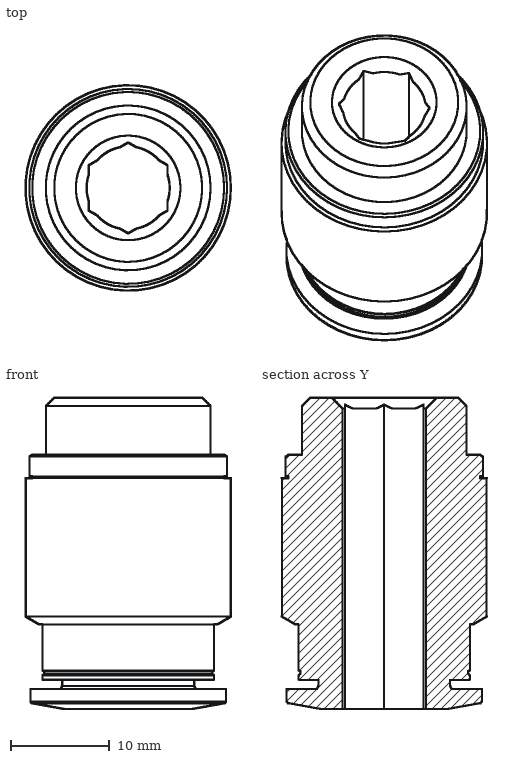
import cadquery as cq
import math

total_height = 31.5

flange_diameter = 19.8
flange_bottom_diameter = 12.85
flange_top = 2.05
rim_height = 0.75
rim_chamfer = 0.15

neck_diameter = 13.4
neck_foot_diameter = 13.67
neck_foot_top = 2.35

sleeve_diameter = 17.4
collar_bottom = 2.93
collar_top = 3.4
groove_diameter = 17.0
sleeve_bottom = 3.85
edge_chamfer = 0.1
collar_taper = (sleeve_diameter - groove_diameter) / 2

body_diameter = 20.8
body_bottom = 8.57
body_top = 23.37
body_chamfer_height = 0.8
body_chamfer_angle = 30.0

ring_diameter = 20.0
ring_edge_diameter = 19.4
ring_bottom = 23.53
ring_top = 25.75
ring_chamfer_height = 0.2

spigot_diameter = 16.65
spigot_chamfer = 0.85

hex_across_flats = 7.95
bore_diameter = 8.38
countersink_diameter = 10.58
countersink_angle = 45.0


def make_outer_body():
    """Revolve the stepped half section about Z."""
    flange_radius = flange_diameter / 2
    neck_radius = neck_diameter / 2
    sleeve_radius = sleeve_diameter / 2
    groove_radius = groove_diameter / 2
    body_radius = body_diameter / 2
    ring_radius = ring_diameter / 2
    ring_edge_radius = ring_edge_diameter / 2
    spigot_radius = spigot_diameter / 2
    body_chamfer_width = body_chamfer_height / math.tan(math.radians(body_chamfer_angle))

    half_section = [
        (0, 0),
        (flange_bottom_diameter / 2, 0),
        (flange_radius - rim_chamfer, rim_height - rim_chamfer),
        (flange_radius, rim_height),
        (flange_radius, flange_top),
        (neck_foot_diameter / 2, flange_top),
        (neck_radius, neck_foot_top),
        (neck_radius, collar_bottom),
        (sleeve_radius - edge_chamfer, collar_bottom),
        (sleeve_radius, collar_bottom + edge_chamfer),
        (sleeve_radius, collar_top),
        (groove_radius, collar_top + collar_taper),
        (groove_radius, sleeve_bottom),
        (sleeve_radius - edge_chamfer, sleeve_bottom),
        (sleeve_radius, sleeve_bottom + edge_chamfer),
        (sleeve_radius, body_bottom),
        (body_radius - body_chamfer_width, body_bottom),
        (body_radius, body_bottom + body_chamfer_height),
        (body_radius, body_top),
        (ring_edge_radius, body_top),
        (ring_edge_radius, ring_bottom),
        (ring_radius, ring_bottom),
        (ring_radius, ring_top - ring_chamfer_height),
        (ring_edge_radius, ring_top),
        (spigot_radius, ring_top),
        (spigot_radius, total_height - spigot_chamfer),
        (spigot_radius - spigot_chamfer, total_height),
        (0, total_height),
    ]
    return cq.Workplane("XZ").polyline(half_section).close().revolve(360, (0, 0), (0, 1))


def make_bore():
    """Through hexagon with corners on the Y axis, united with the round hole."""
    hex_corner_diameter = hex_across_flats / math.cos(math.pi / 6)
    hexagon = (
        cq.Workplane("XY")
        .transformed(rotate=(0, 0, 90))
        .polygon(6, hex_corner_diameter)
        .extrude(total_height)
    )
    return hexagon.union(cq.Workplane("XY").circle(bore_diameter / 2).extrude(total_height))


def make_countersink():
    """Cone that narrows downward from the top face to a point on the axis."""
    radius = countersink_diameter / 2
    depth = radius / math.tan(math.radians(countersink_angle))
    half_section = [(0, total_height), (radius, total_height), (0, total_height - depth)]
    return cq.Workplane("XZ").polyline(half_section).close().revolve(360, (0, 0), (0, 1))


result = make_outer_body().cut(make_bore()).cut(make_countersink())